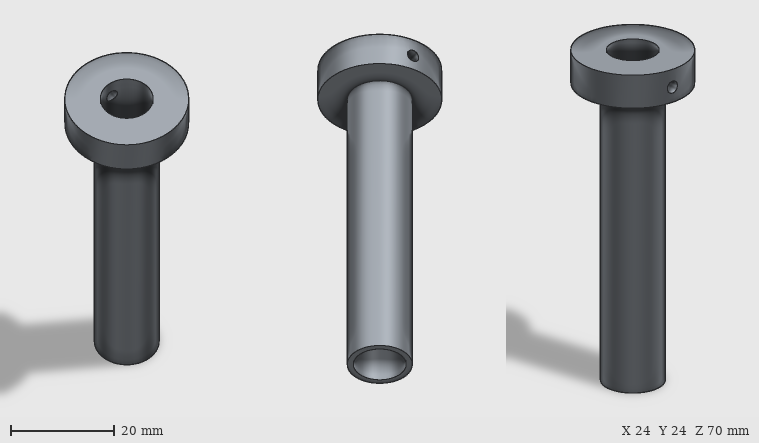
import cadquery as cq

total_length = 70.0
head_diameter = 24.0
head_height = 7.0
stem_diameter = 12.6
bore_diameter = 10.2
pin_hole_diameter = 2.5
pin_hole_depth_below_top = 3.8

stem_length = total_length - head_height
pin_hole_height = total_length - pin_hole_depth_below_top


def flanged_sleeve():
    """Stem standing on the XY plane with a wider head on top."""
    stem = cq.Workplane("XY").circle(stem_diameter / 2).extrude(stem_length)
    return stem.faces(">Z").workplane().circle(head_diameter / 2).extrude(head_height)


def through_bore():
    """Axial bore along the full length."""
    return cq.Workplane("XY").circle(bore_diameter / 2).extrude(total_length)


def radial_pin_hole():
    """Cross hole from the -X side of the head to the bore axis."""
    return (
        cq.Workplane("YZ")
        .center(0, pin_hole_height)
        .circle(pin_hole_diameter / 2)
        .extrude(-head_diameter / 2)
    )


result = flanged_sleeve().cut(through_bore()).cut(radial_pin_hole())